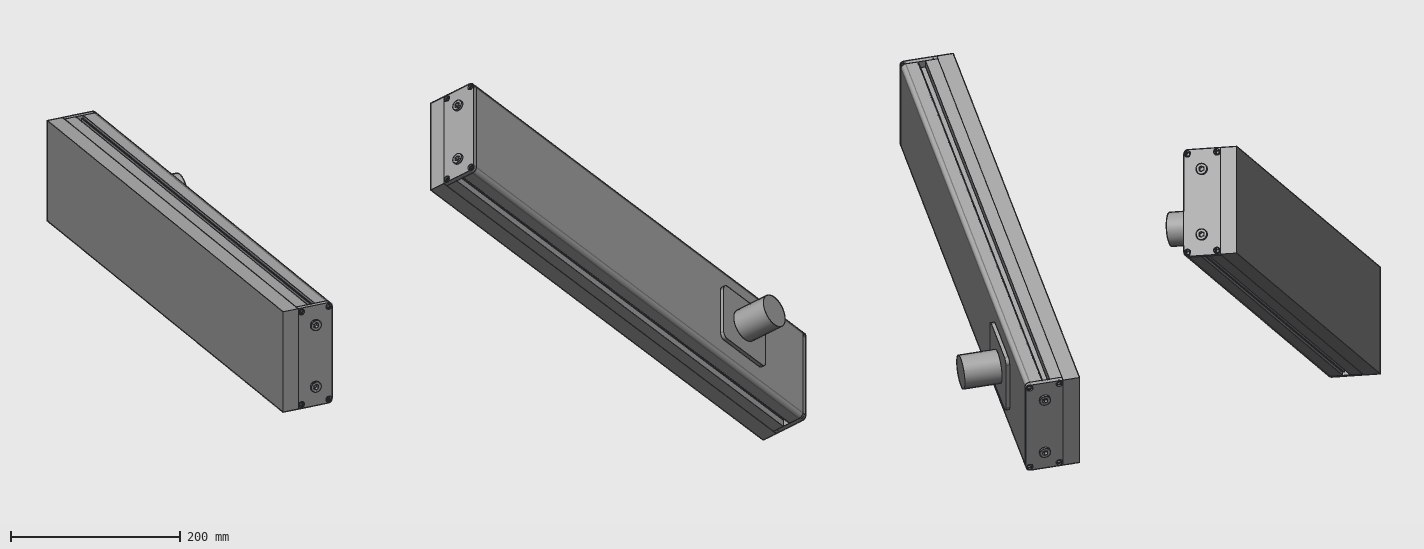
import math

import cadquery as cq

TOTAL_LENGTH = 628.0
TOTAL_DEPTH = 115.0
HEIGHT = 130.0

BOSS_PROJECTION = 2.8
BOSS_DIAMETER = 13.0
BOSS_SPACING = 80.0
SOCKET_ACROSS_FLATS = 5.95
SOCKET_DEPTH = 5.0

FRONT_PANEL_DEPTH = 20.0
HOUSING_BACK = HEIGHT / 2
BACK_EDGE_RADIUS = 5.5
CAP_THICKNESS = 5.5

SLOT_FRONT_Y = 35.0
SLOT_WIDTH = 7.5
SLOT_DEPTH = 9.5
LEDGE_WIDTH = 2.0
LEDGE_DEPTH = 4.0

SCREW_INSET_Y = 4.5
SCREW_INSET_Z = 5.0
SCREW_HOLE_DIAMETER = 4.5
SCREW_RECESS_DIAMETER = 7.5
SCREW_RECESS_DEPTH = 2.5

SPIGOT_X = -191.0
SPIGOT_DIAMETER = 41.0
FLANGE_SIZE = 78.5
FLANGE_THICKNESS = 4.7
FLANGE_CORNER_RADIUS = 7.0

BODY_LENGTH = TOTAL_LENGTH - 2 * BOSS_PROJECTION
PROFILE_LENGTH = BODY_LENGTH - 2 * CAP_THICKNESS
HOUSING_DEPTH = HOUSING_BACK - FRONT_PANEL_DEPTH
HOUSING_CENTER_Y = (HOUSING_BACK + FRONT_PANEL_DEPTH) / 2
SOCKET_ACROSS_CORNERS = SOCKET_ACROSS_FLATS / math.cos(math.pi / 6)
FLANGE_BACK = HOUSING_BACK + FLANGE_THICKNESS


def make_front_panel():
    """Plain slab over the whole front of the housing."""
    return cq.Workplane("XY").box(BODY_LENGTH, FRONT_PANEL_DEPTH, HEIGHT, centered=(True, False, True))


def housing_block(length):
    """Block with the housing's cross-section: the two long back edges are rounded."""
    block = cq.Workplane("XY").box(length, HOUSING_DEPTH, HEIGHT)
    return block.edges("|X and >Y").fillet(BACK_EDGE_RADIUS).translate((0, HOUSING_CENTER_Y, 0))


def make_profile():
    """Long profile between the caps, with a ledged slot along its top and bottom."""
    profile = housing_block(PROFILE_LENGTH)
    for width, depth in ((SLOT_WIDTH, SLOT_DEPTH), (SLOT_WIDTH + LEDGE_WIDTH, LEDGE_DEPTH)):
        groove = cq.Workplane("XY").box(PROFILE_LENGTH, width, depth, centered=(True, False, True))
        for side in (1, -1):
            profile = profile.cut(groove.translate((0, SLOT_FRONT_Y, side * (HEIGHT - depth) / 2)))
    return profile


def make_end_cap(side):
    """End cap at +X (side = 1) or -X (side = -1), with two socketed bosses and four screw holes."""
    cap = housing_block(CAP_THICKNESS).translate((side * (BODY_LENGTH - CAP_THICKNESS) / 2, 0, 0))
    outer_face_x = side * BODY_LENGTH / 2

    def axial_cylinders(points, diameter, start_x, length):
        """Cylinders at (Y, Z) points, running outwards from start_x (inwards for a negative length)."""
        plane = cq.Workplane("YZ", origin=(start_x, 0, 0))
        return plane.pushPoints(points).circle(diameter / 2).extrude(side * length)

    boss_points = [(HOUSING_CENTER_Y, z_sign * BOSS_SPACING / 2) for z_sign in (1, -1)]
    cap = cap.union(axial_cylinders(boss_points, BOSS_DIAMETER, outer_face_x, BOSS_PROJECTION))
    socket_floor_x = side * (TOTAL_LENGTH / 2 - SOCKET_DEPTH)
    for y, z in boss_points:
        socket = cq.Workplane("YZ").polygon(6, SOCKET_ACROSS_CORNERS).extrude(side * SOCKET_DEPTH)
        socket = socket.rotate((0, 0, 0), (1, 0, 0), 90)
        cap = cap.cut(socket.translate((socket_floor_x, y, z)))

    screw_y = HOUSING_DEPTH / 2 - SCREW_INSET_Y
    screw_z = HEIGHT / 2 - SCREW_INSET_Z
    screw_points = [
        (HOUSING_CENTER_Y + y_sign * screw_y, z_sign * screw_z)
        for y_sign in (1, -1)
        for z_sign in (1, -1)
    ]
    cap = cap.cut(axial_cylinders(screw_points, SCREW_HOLE_DIAMETER, outer_face_x, -CAP_THICKNESS))
    return cap.cut(axial_cylinders(screw_points, SCREW_RECESS_DIAMETER, outer_face_x, -SCREW_RECESS_DEPTH))


def make_spigot():
    """Square flange with rounded corners on the back of the housing, carrying a round spigot."""
    flange = cq.Workplane("XY").box(FLANGE_SIZE, FLANGE_THICKNESS, FLANGE_SIZE, centered=(True, False, True))
    flange = flange.edges("|Y").fillet(FLANGE_CORNER_RADIUS).translate((SPIGOT_X, HOUSING_BACK, 0))
    tube = cq.Workplane("XZ", origin=(SPIGOT_X, FLANGE_BACK, 0)).circle(SPIGOT_DIAMETER / 2)
    return flange.union(tube.extrude(FLANGE_BACK - TOTAL_DEPTH))


front_panel = make_front_panel()
profile = make_profile()
end_caps = [make_end_cap(side) for side in (-1, 1)]
spigot = make_spigot()

result = cq.Compound.makeCompound(
    [front_panel.val(), profile.val(), *[cap.val() for cap in end_caps], spigot.val()]
)